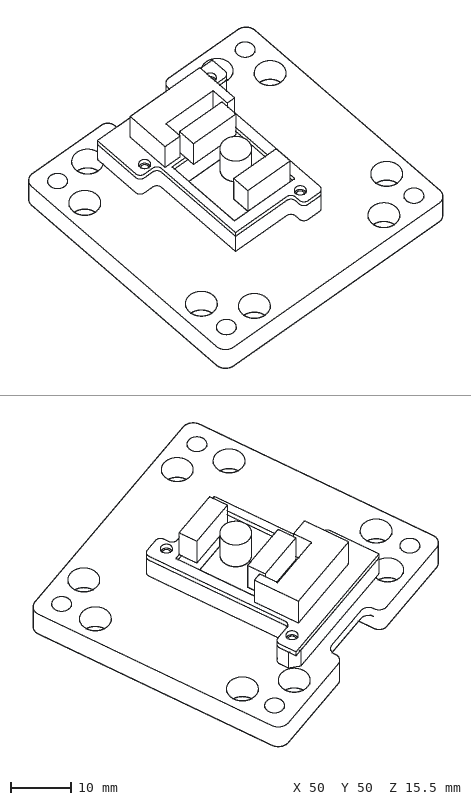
import cadquery as cq

plate_size = 50.0
plate_height = 5.0
plate_corner_radius = 2.0

mount_hole_offset = 21.0
mount_hole_diameter = 3.3
rod_hole_near = 14.5
rod_hole_far = 20.75
rod_hole_diameter = 5.3

notch_depth = 3.15
notch_half_width = 6.0
notch_radius = 1.5
channel_height = 3.0

boss_height = 4.0
boss_chamfer = 1.5
board_thickness = 1.0
board_left = -20.0
board_right = 13.0
board_back = 12.75
board_front = -13.0
back_tab_right = -15.8
arm_back = 8.0
arm_front = 3.45
body_right = 10.0
body_front = -9.05
front_tab_right = -9.45
board_corner_radius = 1.0

window_left = -7.5
window_right = 8.0
window_back = 6.0
window_front = -7.5

screw_points = [(-17.45, 10.0), (10.5, 5.0), (-11.0, -10.5)]
board_hole_diameter = 2.0
screw_hole_diameter = 1.4

component_height = 5.5
connector_left = -16.9
connector_right = -8.2
connector_back = 7.15
connector_front = -8.45
recess_left = -11.75
recess_back = 5.5
recess_front = -5.05

bar_length = 3.5
bar_width = 9.5
bar_front = -4.5
bar_lefts = [-9.0, window_right - bar_length]
pin_diameter = 5.3

board_bottom = plate_height + boss_height
board_top = board_bottom + board_thickness
plate_half = plate_size / 2


def box_between(left, right, front, back, bottom, height):
    """Rectangular block given by its X limits, Y limits, bottom level and height."""
    return (
        cq.Workplane("XY", origin=(left, front, bottom))
        .box(right - left, back - front, height, centered=False)
    )


def cylinders(points, diameter, bottom, height):
    """Upright cylinders of one diameter at the given points."""
    plane = cq.Workplane("XY", origin=(0, 0, bottom))
    return plane.pushPoints(points).circle(diameter / 2).extrude(height)


def board_profile(bottom, height):
    """Stepped outline shared by the board and the boss below it."""
    front_left = (board_left, board_front)
    back_left = (board_left, board_back)
    body_corner = (body_right, body_front)
    front_tab_corners = [(front_tab_right, board_front), (front_tab_right, body_front)]
    arm_corners = [(body_right, arm_front), (board_right, arm_front), (board_right, arm_back)]
    back_tab_corners = [(back_tab_right, arm_back), (back_tab_right, board_back)]

    outline = [front_left, *front_tab_corners, body_corner, *arm_corners, *back_tab_corners, back_left]
    rounded_corners = front_tab_corners + arm_corners + back_tab_corners
    profile = cq.Workplane("XY", origin=(0, 0, bottom)).polyline(outline).close().extrude(height)
    for x, y in rounded_corners:
        corner_edge = cq.selectors.NearestToPointSelector((x, y, bottom + height / 2))
        profile = profile.edges("|Z").edges(corner_edge).fillet(board_corner_radius)
    return profile


def window(bottom, height):
    """Rectangular opening shared by the board and the base."""
    return box_between(window_left, window_right, window_front, window_back, bottom, height)


def make_base():
    """Mounting plate with the raised boss in one piece."""
    plate = cq.Workplane("XY").box(plate_size, plate_size, plate_height, centered=(True, True, False))
    plate = plate.edges("|Z").fillet(plate_corner_radius)

    notch_end = -plate_half + notch_depth
    notch = box_between(-plate_half, notch_end, -notch_half_width, notch_half_width, 0, plate_height)
    plate = plate.cut(notch)
    for x in (-plate_half, notch_end):
        for y in (-notch_half_width, notch_half_width):
            corner_edge = cq.selectors.NearestToPointSelector((x, y, plate_height / 2))
            plate = plate.edges("|Z").edges(corner_edge).fillet(notch_radius)

    signs = [(sx, sy) for sx in (-1, 1) for sy in (-1, 1)]
    rod_points = [(sx * rod_hole_near, sy * rod_hole_far) for sx, sy in signs]
    rod_points += [(sx * rod_hole_far, sy * rod_hole_near) for sx, sy in signs]
    mount_points = [(sx * mount_hole_offset, sy * mount_hole_offset) for sx, sy in signs]
    plate = plate.cut(cylinders(rod_points, rod_hole_diameter, 0, plate_height))
    plate = plate.cut(cylinders(mount_points, mount_hole_diameter, 0, plate_height))

    boss = board_profile(plate_height, boss_height)
    boss = boss.edges("|Z and <X").edges(">Y").chamfer(boss_chamfer)

    base = plate.union(boss)
    base = base.cut(window(0, board_bottom))
    base = base.cut(cylinders(screw_points, screw_hole_diameter, 0, board_bottom))
    channel_start = -plate_half + notch_radius
    channel = box_between(
        channel_start, window_left, -notch_half_width, notch_half_width, 0, channel_height
    )
    return base.cut(channel)


def make_board():
    """Thin board lying on the boss."""
    board = board_profile(board_bottom, board_thickness)
    board = board.cut(window(board_bottom, board_thickness))
    return board.cut(cylinders(screw_points, board_hole_diameter, board_bottom, board_thickness))


def make_connector():
    """C-shaped block on the board."""
    body = box_between(
        connector_left, connector_right, connector_front, connector_back, board_top, component_height
    )
    recess = box_between(
        recess_left, connector_right, recess_front, recess_back, board_top, component_height
    )
    return body.cut(recess)


def make_bar(left):
    """Rectangular bar starting at the given X."""
    right = left + bar_length
    back = bar_front + bar_width
    return box_between(left, right, bar_front, back, board_top, component_height)


def make_pin():
    """Round pin above the middle of the window."""
    return cylinders([(0, 0)], pin_diameter, board_top, component_height)


base = make_base()
board = make_board()
connector = make_connector()
bars = [make_bar(left) for left in bar_lefts]
pin = make_pin()

result = cq.Compound.makeCompound(
    [base.val(), board.val(), connector.val(), *[bar.val() for bar in bars], pin.val()]
)